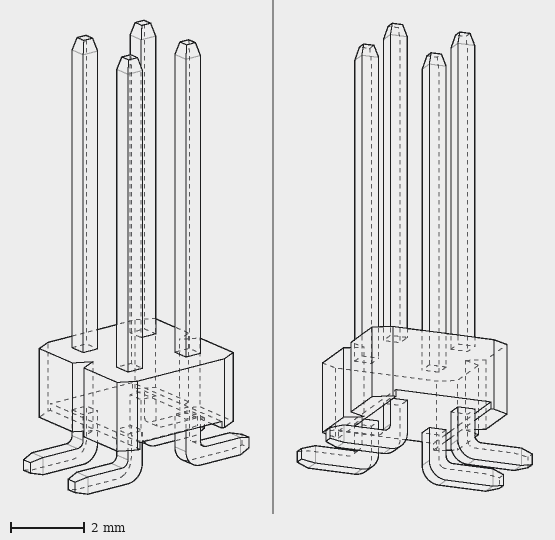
import cadquery as cq

columns = 2
body_length = 4.0
pitch = body_length / columns
body_depth = 2 * pitch
body_bottom = 1.25
body_height = 2.0
corner_x = 0.26
corner_y = 0.5
channel_width = 2.82
channel_height = 0.2

pin_width = 0.5
pin_top = 12.25
foot_span = 6.0
inner_bend_radius = 0.2
outer_bend_radius = 0.5
tip_length = 0.37
tip_width = 0.31


def unit_cell(x):
    """One pin-column block of the body, with its four vertical corners cut off."""
    half_x = pitch / 2
    half_y = body_depth / 2
    outline = [
        (half_x, half_y - corner_y),
        (half_x - corner_x, half_y),
        (corner_x - half_x, half_y),
        (-half_x, half_y - corner_y),
        (-half_x, corner_y - half_y),
        (corner_x - half_x, -half_y),
        (half_x - corner_x, -half_y),
        (half_x, corner_y - half_y),
    ]
    base = cq.Workplane("XY", origin=(x, 0, body_bottom))
    return base.polyline(outline).close().extrude(body_height)


def underside_channel():
    """Shallow channel along X in the underside of the body."""
    floor = cq.Workplane("XY", origin=(0, 0, body_bottom))
    return floor.rect(body_length, channel_width).extrude(channel_height)


def tapered_tip(plane):
    """Pyramid-shaped pin end that narrows along the normal of the plane."""
    base = cq.Workplane(plane).rect(pin_width, pin_width)
    return base.workplane(offset=tip_length).rect(tip_width, tip_width).loft(ruled=True)


def bent_pin(x):
    """L-shaped pin on the +Y row: upright shank, bend, and a foot pointing to +Y."""
    inner_y = (pitch - pin_width) / 2
    outer_y = inner_y + pin_width
    foot_end = foot_span / 2 - tip_length
    shank_top = pin_top - tip_length

    bar = (
        cq.Workplane("YZ", origin=(x, 0, 0))
        .moveTo(inner_y, shank_top)
        .lineTo(inner_y, outer_bend_radius)
        .radiusArc((inner_y + outer_bend_radius, 0), -outer_bend_radius)
        .lineTo(foot_end, 0)
        .lineTo(foot_end, pin_width)
        .lineTo(outer_y + inner_bend_radius, pin_width)
        .radiusArc((outer_y, pin_width + inner_bend_radius), inner_bend_radius)
        .lineTo(outer_y, shank_top)
        .close()
        .extrude(pin_width / 2, both=True)
    )
    top_plane = cq.Plane(origin=(x, pitch / 2, shank_top), xDir=(1, 0, 0), normal=(0, 0, 1))
    foot_plane = cq.Plane(origin=(x, foot_end, pin_width / 2), xDir=(1, 0, 0), normal=(0, 1, 0))
    return bar.union(tapered_tip(top_plane)).union(tapered_tip(foot_plane))


column_positions = [(i - (columns - 1) / 2) * pitch for i in range(columns)]

body = unit_cell(column_positions[0])
for column_x in column_positions[1:]:
    body = body.union(unit_cell(column_x))
result = body.cut(underside_channel())

for column_x in column_positions:
    pin = bent_pin(column_x)
    result = result.union(pin).union(pin.mirror("XZ"))